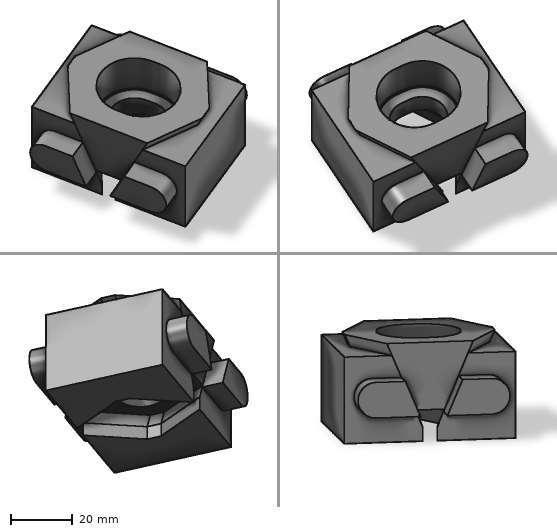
import cadquery as cq
import math

LENGTH = 57.0
JAW_DEPTH = 41.6
JAW_HEIGHT = 28.9
TOTAL_HEIGHT = 32.95
WEDGE_HEIGHT = 22.45

SLOT_WIDTH = 4.8
SLOT_HEIGHT = 4.75
TAPER_ANGLE = 23.0
NOSE_ANGLE = 30.0
NOSE_WIDTH = 4.95

LUG_HEIGHT = 11.85
LUG_SPAN = 56.2
LUG_REACH = 25.3
LUG_CENTRE_Z = 15.55

BORE_STRAIGHT = 2.95
BORE_WIDTH = 24.95
HOLE_WIDTH = 16.75
BORE_DEPTH = 14.75
BORE_FLOOR_CHAMFER = 0.4

TAPER = math.tan(math.radians(TAPER_ANGLE))
NOSE_LENGTH = (JAW_DEPTH - NOSE_WIDTH) / 2 * math.tan(math.radians(NOSE_ANGLE))


def half_width(z):
    """Half the gap between the end faces of the tapered seat at height z."""
    return SLOT_WIDTH / 2 + (z - SLOT_HEIGHT) * TAPER


def nosed_outline(z):
    """Plan outline of the wedge and its seat at height z."""
    corner_x = half_width(z)
    nose_x = corner_x + NOSE_LENGTH
    corner_y = JAW_DEPTH / 2
    nose_y = NOSE_WIDTH / 2
    return [
        (-corner_x, -corner_y), (corner_x, -corner_y),
        (nose_x, -nose_y), (nose_x, nose_y),
        (corner_x, corner_y), (-corner_x, corner_y),
        (-nose_x, nose_y), (-nose_x, -nose_y),
    ]


def tapered_block(bottom, top):
    """Nosed block whose side faces lean outwards from bottom to top."""
    return (
        cq.Workplane("XY", origin=(0, 0, bottom))
        .polyline(nosed_outline(bottom)).close()
        .workplane(offset=top - bottom)
        .polyline(nosed_outline(top)).close()
        .loft(ruled=True)
    )


def bore_step(width, depth):
    """Elongated cutter reaching down from the wedge top."""
    return (
        cq.Workplane("XY", origin=(0, 0, TOTAL_HEIGHT))
        .slot2D(width + BORE_STRAIGHT, width)
        .extrude(-depth)
    )


def make_wedge():
    wedge = tapered_block(TOTAL_HEIGHT - WEDGE_HEIGHT, TOTAL_HEIGHT)
    bore = bore_step(BORE_WIDTH, BORE_DEPTH).faces("<Z").chamfer(BORE_FLOOR_CHAMFER)
    hole = bore_step(HOLE_WIDTH, WEDGE_HEIGHT)
    return wedge.cut(bore).cut(hole)


def make_seat():
    """Space between the jaws: the tapered seat and its straight outlet below."""
    outlet = (
        cq.Workplane("XY")
        .polyline(nosed_outline(SLOT_HEIGHT)).close()
        .extrude(SLOT_HEIGHT)
    )
    return outlet.union(tapered_block(SLOT_HEIGHT, TOTAL_HEIGHT))


def make_lugs():
    """Both lugs of the right jaw, joined as one bar with a leaning inner end."""
    bottom = LUG_CENTRE_Z - LUG_HEIGHT / 2
    top = LUG_CENTRE_Z + LUG_HEIGHT / 2
    round_x = LUG_REACH - LUG_HEIGHT / 2
    return (
        cq.Workplane("XZ")
        .moveTo(half_width(bottom), bottom)
        .lineTo(round_x, bottom)
        .threePointArc((LUG_REACH, LUG_CENTRE_Z), (round_x, top))
        .lineTo(half_width(top), top)
        .close()
        .extrude(LUG_SPAN / 2, both=True)
    )


def make_jaw():
    """Right jaw with its lugs, cut to fit the wedge."""
    block_length = (LENGTH - SLOT_WIDTH) / 2
    block = (
        cq.Workplane("XY", origin=(SLOT_WIDTH / 2, 0, 0))
        .box(block_length, JAW_DEPTH, JAW_HEIGHT, centered=(False, True, False))
    )
    return block.union(make_lugs()).cut(make_seat())


wedge = make_wedge()
jaws = [make_jaw().rotate((0, 0, 0), (0, 0, 1), angle) for angle in (0, 180)]

result = cq.Compound.makeCompound([
    wedge.solids().val(),
    *[jaw.solids().val() for jaw in jaws],
])